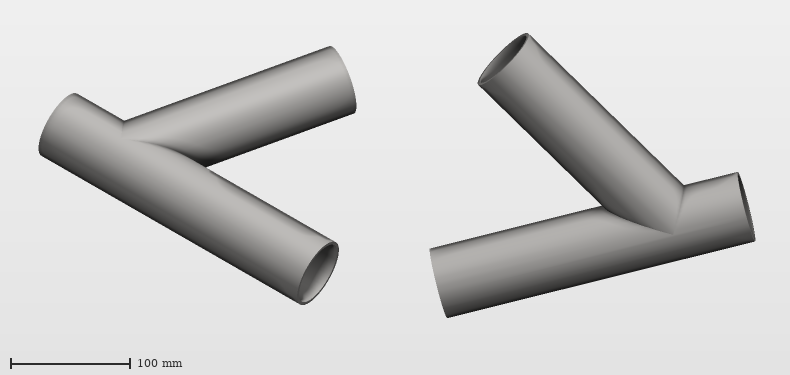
import cadquery as cq
import math

RUN_LENGTH = 266.7
OUTER_DIAMETER = 60.3
BORE_DIAMETER = 54.7
BRANCH_LENGTH = 203.2
BRANCH_ANGLE = 60.0
BRANCH_POSITION = 63.5

branch_direction = cq.Vector(
    math.cos(math.radians(BRANCH_ANGLE)),
    math.sin(math.radians(BRANCH_ANGLE)),
    0,
)


def cylinder(diameter, length, start, direction):
    """Solid cylinder extending from the start point along the direction."""
    return cq.Workplane(cq.Solid.makeCylinder(diameter / 2, length, start, direction))


def pipe_shape(diameter):
    """Run along X joined to the inclined branch, both of the same diameter."""
    run_start = cq.Vector(-BRANCH_POSITION, 0, 0)
    run = cylinder(diameter, RUN_LENGTH, run_start, cq.Vector(1, 0, 0))
    branch = cylinder(diameter, BRANCH_LENGTH, cq.Vector(0, 0, 0), branch_direction)
    return run.union(branch)


result = pipe_shape(OUTER_DIAMETER).cut(pipe_shape(BORE_DIAMETER))